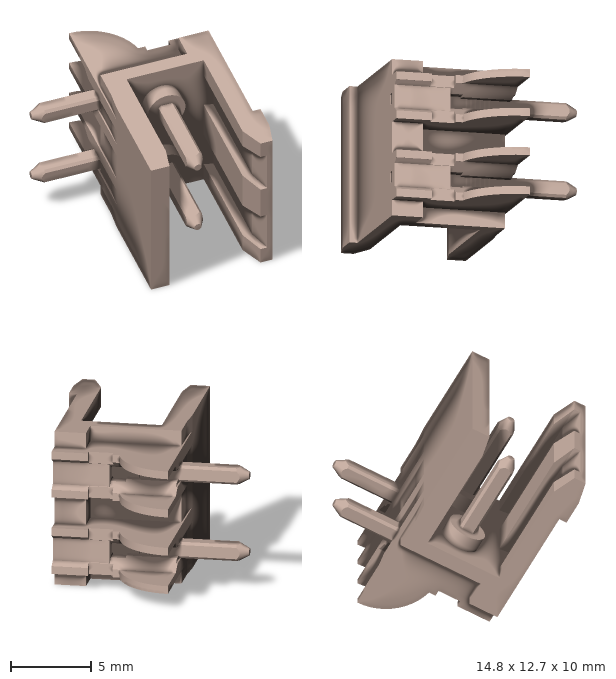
import cadquery as cq

LENGTH = 14.8
HEIGHT = 10.0
PITCH = HEIGHT / 2
WAY_CENTERS = [PITCH / 2, PITCH * 3 / 2]

BACK_Y = 7.87
STEP_X = 3.8
STEP_Y = 5.88
WALL_OUT_X = 5.37
WALL_IN_X = 6.3
FRONT_ARM_IN_Y = 1.51
FRONT_ARM_TIP_Y = 1.23
LATCH_IN_Y = 6.63
LATCH_TIP_IN_Y = 7.28
LATCH_TIP_OUT_Y = 8.08
HOOK_Y = 8.39
HOOK_X = 11.78
TIP_TAPER_X = 13.38
LATCH_TAPER_X = 13.32
RELIEF_Y = 0.1
RELIEF_FLAT_X = 7.33
RELIEF_END_X = 8.58

GUIDE_HEIGHT = 3.0
FIN_RADIUS = 3.69
FIN_ROOT_X = 2.8
FIN_ROOT_Y = 3.57
NOTCH_X = 3.18
NOTCH_Y = (4.03, 5.58)

MOUTH_WIDTH = 2.0
SLOT_WIDTH = 0.7
FUNNEL_START_X = 2.81
FUNNEL_END_X = STEP_X
PANEL_X = 3.21
PANEL_Y = 4.26
RELIEF_WIDTH = 1.15
CLEARANCE_WIDTH = 0.95
CLEARANCE_Y = 3.32

RECESS_Y = 7.27
RECESS_TIP_Y = 7.73
RECESS_MOUTH_HALF = 1.25
RECESS_FLOOR_HALF = 1.38

PIN_WIDTH = 1.07
PIN_CHAMFER = 0.16
PIN_LEG_X = 4.82
PIN_CONTACT_Y = 3.8
PIN_CONTACT_END_X = 12.95
PIN_LEG_END_Y = -4.32
PIN_TIP_RADIUS = 0.24
PIN_TIP_SLOPE = 0.54
PIN_NEAR_X = PIN_LEG_X - PIN_WIDTH / 2
PIN_FAR_Y = PIN_CONTACT_Y + PIN_WIDTH / 2
COLLAR_DIAMETER = 2.49
COLLAR_END_X = 7.31

BARB_COUNT = 6
BARB_FIRST_Y = 1.35
BARB_LAST_Y = 2.85
BARB_PITCH = (BARB_LAST_Y - BARB_FIRST_Y) / (BARB_COUNT - 1)
BARB_CREST = 0.05
BARB_WIDTH = 0.13
BARB_HEIGHT = 0.03


def box(x, y, z):
    """Box from three (low, high) ranges."""
    size = [high - low for low, high in (x, y, z)]
    return cq.Workplane("XY").box(*size, centered=False).translate((x[0], y[0], z[0]))


def centered_plate(outline, height, z):
    """Closed XY outline extruded evenly to both sides of height z."""
    return outline.extrude(height / 2, both=True).translate((0, 0, z))


def span(center, width):
    return (center - width / 2, center + width / 2)


def make_housing():
    outline = [
        (STEP_X, BACK_Y),
        (STEP_X, STEP_Y),
        (WALL_OUT_X, STEP_Y),
        (WALL_OUT_X, RELIEF_Y),
        (RELIEF_FLAT_X, RELIEF_Y),
        (RELIEF_END_X, 0),
        (LENGTH, 0),
        (LENGTH, FRONT_ARM_TIP_Y),
        (TIP_TAPER_X, FRONT_ARM_IN_Y),
        (WALL_IN_X, FRONT_ARM_IN_Y),
        (WALL_IN_X, LATCH_IN_Y),
        (LATCH_TAPER_X, LATCH_IN_Y),
        (LENGTH, LATCH_TIP_IN_Y),
        (LENGTH, LATCH_TIP_OUT_Y),
        (TIP_TAPER_X, HOOK_Y),
        (HOOK_X, HOOK_Y),
        (HOOK_X, BACK_Y),
    ]
    return cq.Workplane("XY").polyline(outline).close().extrude(HEIGHT)


def make_guide(z):
    outline = (
        cq.Workplane("XY")
        .moveTo(0, 0)
        .radiusArc((FIN_ROOT_X, FIN_ROOT_Y), FIN_RADIUS)
        .lineTo(FIN_ROOT_X, NOTCH_Y[0])
        .lineTo(NOTCH_X, NOTCH_Y[0])
        .lineTo(NOTCH_X, NOTCH_Y[1])
        .lineTo(FIN_ROOT_X, NOTCH_Y[1])
        .lineTo(FIN_ROOT_X, BACK_Y)
        .lineTo(WALL_IN_X, BACK_Y)
        .lineTo(WALL_IN_X, FRONT_ARM_IN_Y)
        .lineTo(RELIEF_END_X, FRONT_ARM_IN_Y)
        .lineTo(RELIEF_END_X, 0)
        .close()
    )
    return centered_plate(outline, GUIDE_HEIGHT, z)


def make_funnel(z):
    """Opening between the fins: wide mouth, taper and a narrow slot up to the pin leg."""
    outline = [
        (0, MOUTH_WIDTH / 2),
        (FUNNEL_START_X, MOUTH_WIDTH / 2),
        (FUNNEL_END_X, SLOT_WIDTH / 2),
        (PIN_NEAR_X, SLOT_WIDTH / 2),
    ]
    mirrored = [(x, -half) for x, half in reversed(outline)]
    funnel = cq.Workplane("XZ").polyline(outline + mirrored).close().extrude(-BACK_Y)
    funnel = funnel.translate((0, 0, z))
    panel = box((PANEL_X, FUNNEL_END_X), (PANEL_Y, BACK_Y), span(z, MOUTH_WIDTH))
    clearance = box((PANEL_X, PIN_NEAR_X), (CLEARANCE_Y, PANEL_Y), span(z, CLEARANCE_WIDTH))
    return funnel.cut(panel).union(clearance)


def make_front_relief(z):
    """Shallow set-back of the front face between the two fins, running out to flush."""
    outline = cq.Workplane("XY").polyline([
        (FUNNEL_START_X, 0),
        (FUNNEL_START_X, RELIEF_Y),
        (RELIEF_FLAT_X, RELIEF_Y),
        (RELIEF_END_X, 0),
    ]).close()
    return centered_plate(outline, RELIEF_WIDTH, z)


def make_leg_socket(z):
    """Square hole that takes the pin leg and leaves its bevelled corners free."""
    return box(span(PIN_LEG_X, PIN_WIDTH), (0, PIN_FAR_Y), span(z, PIN_WIDTH))


def make_latch_recess(z):
    outline = cq.Workplane("XY").polyline([
        (WALL_IN_X, LATCH_IN_Y),
        (WALL_IN_X, RECESS_Y),
        (LATCH_TAPER_X, RECESS_Y),
        (LENGTH, RECESS_TIP_Y),
        (LENGTH, LATCH_IN_Y),
    ]).close()
    flare = cq.Workplane("YZ").polyline([
        (LATCH_IN_Y, -RECESS_MOUTH_HALF),
        (RECESS_Y, -RECESS_FLOOR_HALF),
        (RECESS_TIP_Y, -RECESS_FLOOR_HALF),
        (RECESS_TIP_Y, RECESS_FLOOR_HALF),
        (RECESS_Y, RECESS_FLOOR_HALF),
        (LATCH_IN_Y, RECESS_MOUTH_HALF),
    ]).close().extrude(LENGTH)
    return centered_plate(outline, 2 * RECESS_FLOOR_HALF, z).intersect(flare.translate((0, 0, z)))


def make_bar(length):
    """Square bar along +Z with bevelled long edges and a conical tip."""
    bar = cq.Workplane("XY").rect(PIN_WIDTH, PIN_WIDTH).extrude(length)
    bar = bar.edges("|Z").chamfer(PIN_CHAMFER)
    base_radius = PIN_TIP_RADIUS + PIN_TIP_SLOPE * length
    cone = cq.Workplane("XY").circle(base_radius).workplane(offset=length).circle(PIN_TIP_RADIUS).loft()
    return bar.intersect(cone)


def make_barb(drop_y, z):
    crest_x = PIN_NEAR_X - BARB_HEIGHT
    outline = cq.Workplane("XY").polyline([
        (PIN_LEG_X, drop_y),
        (crest_x, drop_y),
        (crest_x, drop_y + BARB_CREST),
        (PIN_NEAR_X, drop_y + BARB_WIDTH),
        (PIN_LEG_X, drop_y + BARB_WIDTH),
    ]).close()
    return centered_plate(outline, SLOT_WIDTH, z)


def make_pin(z):
    contact = make_bar(PIN_CONTACT_END_X - PIN_NEAR_X).rotate((0, 0, 0), (0, 1, 0), 90)
    contact = contact.translate((PIN_NEAR_X, PIN_CONTACT_Y, z))
    leg = make_bar(PIN_FAR_Y - PIN_LEG_END_Y).rotate((0, 0, 0), (1, 0, 0), 90)
    leg = leg.translate((PIN_LEG_X, PIN_FAR_Y, z))
    collar = cq.Workplane("YZ").circle(COLLAR_DIAMETER / 2).extrude(COLLAR_END_X - WALL_OUT_X)
    collar = collar.translate((WALL_OUT_X, PIN_CONTACT_Y, z))
    pin = contact.union(leg).union(collar)
    for index in range(BARB_COUNT):
        pin = pin.union(make_barb(BARB_FIRST_Y + index * BARB_PITCH, z))
    return pin


result = make_housing()
for way_z in WAY_CENTERS:
    result = result.union(make_guide(way_z))
for way_z in WAY_CENTERS:
    result = result.cut(make_funnel(way_z))
    result = result.cut(make_front_relief(way_z))
    result = result.cut(make_leg_socket(way_z))
    result = result.cut(make_latch_recess(way_z))
for way_z in WAY_CENTERS:
    result = result.union(make_pin(way_z))
result = result.solids()